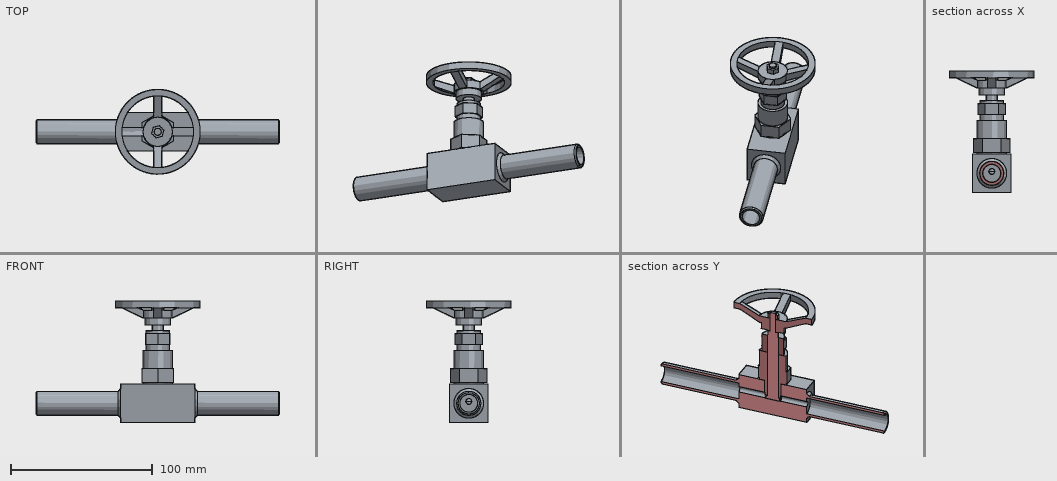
import cadquery as cq
import math

run_length = 172.0
overall_height = 86.0

block_length = 52.3
block_size = 27.3
pipe_diameter = 17.0
pipe_bore_diameter = 12.5
pipe_end_chamfer_length = 0.9
pipe_end_chamfer_depth = 1.0
weld_diameter = 21.0
port_diameter = 4.0
port_rise = 1.4
chamber_diameter = 12.0
chamber_floor_drop = 2.2

bonnet_diameter = 21.0
bonnet_foot_height = 1.0
bonnet_hex_flats = 22.4
bonnet_hex_height = 9.8
bonnet_barrel_height = 12.9

gland_diameter = 16.7
gland_shank_height = 4.1
gland_hex_flats = 17.0
gland_hex_height = 7.7
gland_collar_height = 2.0

stem_diameter = 8.0
plug_diameter = 11.0
stem_end_diameter = 5.0
stem_end_projection = 1.2

wheel_diameter = 60.0
rim_inner_diameter = 50.5
rim_height = 5.0
hub_boss_diameter = 18.0
hub_boss_height = 4.8
hub_diameter = 20.6
hub_height = 5.7
hub_top_drop = 6.5
spoke_width = 5.8

wheel_nut_flats = 7.7
wheel_nut_height = 3.6

spindle_hex_turn = 90.0
wheel_nut_turn = 15.0

pipe_axis_z = block_size / 2
port_axis_z = pipe_axis_z + port_rise
chamber_floor_z = port_axis_z - chamber_floor_drop
bonnet_hex_z = block_size + bonnet_foot_height
bonnet_barrel_z = bonnet_hex_z + bonnet_hex_height
gland_z = bonnet_barrel_z + bonnet_barrel_height
gland_hex_z = gland_z + gland_shank_height
gland_collar_z = gland_hex_z + gland_hex_height
hub_top_z = overall_height - hub_top_drop
hub_z = hub_top_z - hub_height
hub_boss_z = hub_z - hub_boss_height
wheel_nut_top_z = hub_top_z + wheel_nut_height
stem_top_z = wheel_nut_top_z + stem_end_projection


def cylinder(diameter, bottom_z, height):
    """Upright cylinder on the stem axis."""
    return cq.Workplane("XY").workplane(offset=bottom_z).circle(diameter / 2).extrude(height)


def hexagon(flats, bottom_z, height, turn):
    """Upright hexagonal prism on the stem axis; turn is the angle of one corner from +X."""
    corner_diameter = flats / math.cos(math.pi / 6)
    prism = cq.Workplane("XY").polygon(6, corner_diameter).extrude(height)
    return prism.rotate((0, 0, 0), (0, 0, 1), turn).translate((0, 0, bottom_z))


def make_valve_body():
    """Block with a welded pipe on each end, the ports and the stem chamber."""
    half_run = run_length / 2
    half_block = block_length / 2
    pipe_radius = pipe_diameter / 2
    weld_radius = weld_diameter / 2
    weld_end = half_block + weld_radius - pipe_radius

    block = cq.Workplane("XY").box(block_length, block_size, block_size, centered=(True, True, False))
    run_profile = [
        (-half_run, 0),
        (-half_run, pipe_radius - pipe_end_chamfer_depth),
        (-half_run + pipe_end_chamfer_length, pipe_radius),
        (-weld_end, pipe_radius),
        (-half_block, weld_radius),
        (half_block, weld_radius),
        (weld_end, pipe_radius),
        (half_run - pipe_end_chamfer_length, pipe_radius),
        (half_run, pipe_radius - pipe_end_chamfer_depth),
        (half_run, 0),
    ]
    run = cq.Workplane("XY").polyline(run_profile).close().revolve(360, (0, 0, 0), (1, 0, 0))
    body = block.union(run.translate((0, 0, pipe_axis_z)))

    for side in (-1, 1):
        pipe_bore = (
            cq.Workplane("YZ", origin=(side * half_block, 0, pipe_axis_z))
            .circle(pipe_bore_diameter / 2)
            .extrude(side * (half_run - half_block))
        )
        body = body.cut(pipe_bore)

    port = (
        cq.Workplane("YZ", origin=(-half_block, 0, port_axis_z))
        .circle(port_diameter / 2)
        .extrude(block_length)
    )
    chamber = cylinder(chamber_diameter, chamber_floor_z, block_size - chamber_floor_z)
    return body.cut(port).cut(chamber)


def make_bonnet():
    """Foot, hexagon and barrel with a spigot down to the port axis, bored for the stem."""
    spigot = cylinder(chamber_diameter, port_axis_z, block_size - port_axis_z)
    foot = cylinder(bonnet_diameter, block_size, bonnet_foot_height)
    hex_part = hexagon(bonnet_hex_flats, bonnet_hex_z, bonnet_hex_height, spindle_hex_turn)
    barrel = cylinder(bonnet_diameter, bonnet_barrel_z, bonnet_barrel_height)
    bore = cylinder(stem_diameter, port_axis_z, gland_z - port_axis_z)
    return spigot.union(foot).union(hex_part).union(barrel).cut(bore)


def make_gland_nut():
    """Shank, hexagon and collar, bored for the stem."""
    gland_height = gland_shank_height + gland_hex_height + gland_collar_height
    shank = cylinder(gland_diameter, gland_z, gland_shank_height)
    hex_part = hexagon(gland_hex_flats, gland_hex_z, gland_hex_height, spindle_hex_turn)
    collar = cylinder(gland_diameter, gland_collar_z, gland_collar_height)
    bore = cylinder(stem_diameter, gland_z, gland_height)
    return shank.union(hex_part).union(collar).cut(bore)


def make_stem():
    """Plug on the chamber floor, spindle up to the hub and a thinner end through hub and nut."""
    plug = cylinder(plug_diameter, chamber_floor_z, port_axis_z - chamber_floor_z)
    spindle = cylinder(stem_diameter, port_axis_z, hub_boss_z - port_axis_z)
    end = cylinder(stem_end_diameter, hub_boss_z, stem_top_z - hub_boss_z)
    return plug.union(spindle).union(end)


def make_spokes():
    """Dished web between hub and rim, kept only where the bars of a cross run."""
    hub_radius = hub_diameter / 2
    rim_inner_radius = rim_inner_diameter / 2
    rim_middle_radius = (rim_inner_diameter + wheel_diameter) / 4
    rim_z = overall_height - rim_height
    web_profile = [
        (0, hub_z),
        (hub_radius, hub_z),
        (rim_inner_radius, rim_z),
        (rim_middle_radius, rim_z),
        (rim_middle_radius, overall_height),
        (rim_inner_radius, overall_height),
        (hub_radius, hub_top_z),
        (0, hub_top_z),
    ]
    web = cq.Workplane("XZ").polyline(web_profile).close().revolve(360, (0, 0, 0), (0, 1, 0))
    bar = cq.Workplane("XY").box(wheel_diameter, spoke_width, overall_height, centered=(True, True, False))
    cross = bar.union(bar.rotate((0, 0, 0), (0, 0, 1), 90))
    return web.intersect(cross)


def make_handwheel():
    """Rim, hub with a smaller boss below it, and sloping spokes, bored for the stem end."""
    wheel = (
        cq.Workplane("XY")
        .workplane(offset=overall_height - rim_height)
        .circle(wheel_diameter / 2)
        .circle(rim_inner_diameter / 2)
        .extrude(rim_height)
    )
    wheel = wheel.union(cylinder(hub_diameter, hub_z, hub_height))
    wheel = wheel.union(cylinder(hub_boss_diameter, hub_boss_z, hub_boss_height))
    wheel = wheel.union(make_spokes())
    return wheel.cut(cylinder(stem_end_diameter, hub_boss_z, hub_top_z - hub_boss_z))


def make_wheel_nut():
    """Hexagon nut on top of the hub, bored for the stem end."""
    nut = hexagon(wheel_nut_flats, hub_top_z, wheel_nut_height, wheel_nut_turn)
    bore = cylinder(stem_end_diameter, hub_top_z, wheel_nut_height)
    return nut.cut(bore)


valve_body = make_valve_body()
bonnet = make_bonnet()
gland_nut = make_gland_nut()
stem = make_stem()
handwheel = make_handwheel()
wheel_nut = make_wheel_nut()

result = cq.Compound.makeCompound([
    valve_body.val(),
    bonnet.val(),
    gland_nut.val(),
    stem.val(),
    handwheel.val(),
    wheel_nut.val(),
])